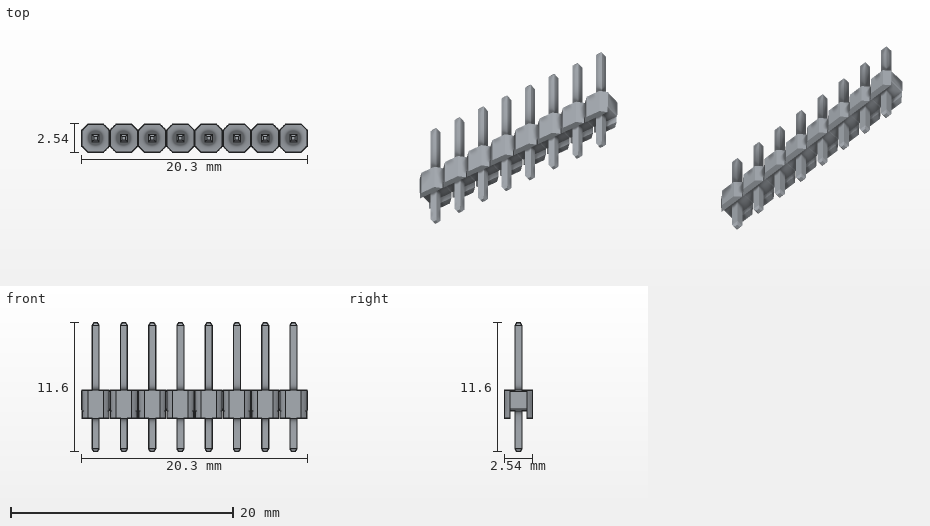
import cadquery as cq

pin_count = 8
pitch = 2.54

body_depth = 2.54
body_height = 2.54
joint_relief = 0.06
corner_cut = 0.52
channel_height = 0.66
joint_top_drop = 0.13
joint_bottom_rise = 0.16

pin_width = 0.65
pin_below = 3.0
pin_length = 11.6
tip_height = 0.27
tip_inset = 0.16

row_length = pin_count * pitch
pin_places = [(i - (pin_count - 1) / 2) * pitch for i in range(pin_count)]
block_half_x = pitch / 2 - joint_relief
channel_width = body_depth - 2 * corner_cut


def octagon_block():
    """Full-height prism with its four vertical corners cut off."""
    half_y = body_depth / 2
    inner_x = block_half_x - corner_cut
    inner_y = half_y - corner_cut
    return (
        cq.Workplane("XY")
        .polyline([
            (-inner_x, -half_y), (inner_x, -half_y),
            (block_half_x, -inner_y), (block_half_x, inner_y),
            (inner_x, half_y), (-inner_x, half_y),
            (-block_half_x, inner_y), (-block_half_x, -inner_y),
        ])
        .close()
        .extrude(body_height)
    )


def joint_web():
    """Web through a block that swells out to the pitch line, with sloped shoulders."""
    joint_bottom = channel_height + joint_bottom_rise
    joint_top = body_height - joint_top_drop
    return (
        cq.Workplane("XZ")
        .polyline([
            (-block_half_x, channel_height), (block_half_x, channel_height),
            (pitch / 2, joint_bottom), (pitch / 2, joint_top),
            (block_half_x, body_height), (-block_half_x, body_height),
            (-pitch / 2, joint_top), (-pitch / 2, joint_bottom),
        ])
        .close()
        .extrude(channel_width / 2, both=True)
    )


def pin_hole():
    """Square hole filled by the pin, through the full block height."""
    return cq.Workplane("XY").rect(pin_width, pin_width).extrude(body_height)


def make_housing():
    """Row of blocks joined at the webs, open underneath between the feet."""
    channel = cq.Workplane("XY").box(
        row_length, channel_width, channel_height, centered=(True, True, False)
    )
    block = octagon_block().cut(channel).union(joint_web()).cut(pin_hole())
    row = block.translate((pin_places[0], 0, 0))
    for x in pin_places[1:]:
        row = row.union(block.translate((x, 0, 0)))
    return row


def make_tip(base):
    """Tapered tip grown outward from one end of the shank."""
    tip_width = pin_width - 2 * tip_inset
    return (
        base.rect(pin_width, pin_width)
        .workplane(offset=tip_height)
        .rect(tip_width, tip_width)
        .loft(combine=False)
    )


def make_pin(x):
    """Square pin at one place in the row, tapered at both ends."""
    shank_length = pin_length - 2 * tip_height
    shank = (
        cq.Workplane("XY", origin=(x, 0, tip_height - pin_below))
        .rect(pin_width, pin_width)
        .extrude(shank_length)
    )
    for face in (">Z", "<Z"):
        shank = shank.union(make_tip(shank.faces(face).workplane(centerOption="CenterOfMass")))
    return shank


housing = make_housing()
pins = [make_pin(x) for x in pin_places]

result = cq.Compound.makeCompound([housing.val(), *[pin.val() for pin in pins]])